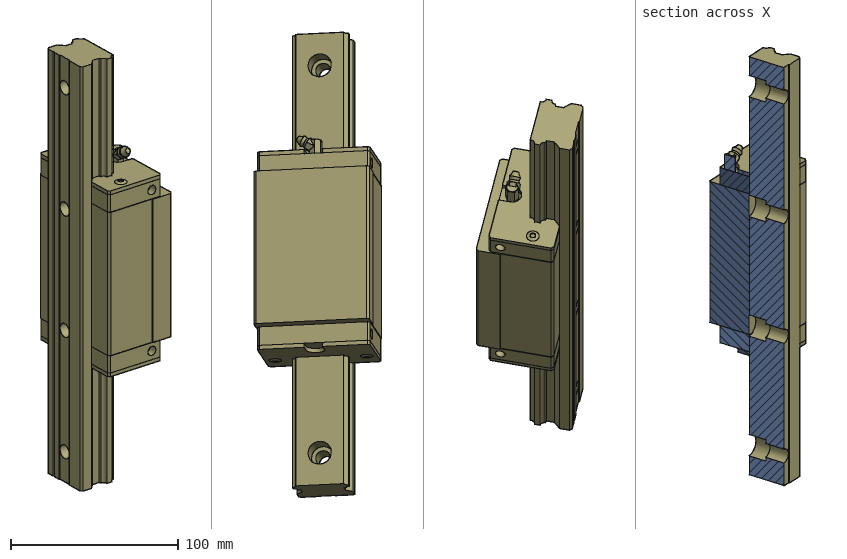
import cadquery as cq
import math


RAIL_LENGTH = 280.0
RAIL_HEIGHT = 26.0
RAIL_HALF_WIDTH = 17.0
RAIL_NECK_HALF_WIDTH = 13.2
RAIL_FOOT_HEIGHT = 7.5
RAIL_FOOT_CHAMFER = 1.5
RACEWAY_RADIUS = 2.5
UPPER_RACEWAY_CENTRE_Y = 25.5
LOWER_RACEWAY_CENTRE_Y = 16.8
SHOULDER_DROP = 0.5
BASE_GROOVE_HALF_WIDTH = 5.0
BASE_GROOVE_DEPTH = 0.5
MARK_GROOVE_X = -10.0
MARK_GROOVE_HALF_WIDTH = 0.8
MARK_GROOVE_DEPTH = 0.5

HOLE_COUNT = 4
HOLE_PITCH = 80.0
HOLE_DIAMETER = 9.0
COUNTERBORE_DIAMETER = 14.0
COUNTERBORE_DEPTH = 12.0

CARRIAGE_CENTRE_Z = 1.0
CARRIAGE_BOTTOM_Y = RAIL_FOOT_HEIGHT
CARRIAGE_CHAMFER = 1.5
BLOCK_LENGTH = 94.5
BLOCK_TOP_Y = 55.0
BLOCK_HALF_WIDTH = 35.0
BLOCK_STEP_Y = 39.8
BLOCK_STEP = 0.45
BLOCK_LOWER_HALF_WIDTH = BLOCK_HALF_WIDTH - BLOCK_STEP
CAP_LENGTH = 11.5
CAP_TOP_Y = 47.3
CAP_HALF_WIDTH = 34.2
SEAL_THICKNESS = 2.5
CAP_START = BLOCK_LENGTH / 2
SEAL_START = CAP_START + CAP_LENGTH

PORT_Y = 40.0
PORT_DIAMETER = 6.0
PORT_DEPTH = 5.5
NOTCH_RADIUS = 5.5

SCREW_X = 27.7
SCREW_Y = 21.5
SCREW_DIAMETER = 7.5
SCREW_HEIGHT = 0.8
SOCKET_DIAMETER = 3.5
SOCKET_DEPTH = 0.8

HEX_DIAMETER = 8.0
HEX_CHAMFER_DIAMETER = 6.7
HEX_CHAMFER_ANGLE = 30.0
HEX_HEIGHT = 9.8
NOZZLE_TILT = 30.0
NOZZLE_PIVOT_HEIGHT = 5.3
NOZZLE_HEX_LENGTH = 5.5
NECK_DIAMETER = 5.5
NECK_END = 7.0
HEAD_DIAMETER = 6.7
HEAD_START = 9.0
CROWN_DIAMETER = 4.5
CROWN_START = 11.0
TIP_DIAMETER = 3.5
NOZZLE_LENGTH = 12.3


def mirrored_across_yz(right_side):
    """Close a right-hand half outline with its mirror image."""
    return right_side + [(-x, y) for x, y in reversed(right_side)]


def raceway_middle(centre_y, side):
    """Middle point of a quarter-round raceway above (side 1) or below (side -1) its centre."""
    reach = RACEWAY_RADIUS * math.sqrt(0.5)
    return RAIL_HALF_WIDTH - reach, centre_y + side * reach


def rail_blank():
    """Full-length rail without base grooves or holes."""
    raceway_inner_x = RAIL_HALF_WIDTH - RACEWAY_RADIUS
    slope_top_y = RAIL_FOOT_HEIGHT + RAIL_HALF_WIDTH - RAIL_NECK_HALF_WIDTH
    right_half = (
        cq.Workplane("XY", origin=(0, 0, -RAIL_LENGTH / 2))
        .lineTo(RAIL_HALF_WIDTH - RAIL_FOOT_CHAMFER, 0)
        .lineTo(RAIL_HALF_WIDTH, RAIL_FOOT_CHAMFER)
        .lineTo(RAIL_HALF_WIDTH, RAIL_FOOT_HEIGHT)
        .lineTo(RAIL_NECK_HALF_WIDTH, slope_top_y)
        .lineTo(RAIL_NECK_HALF_WIDTH, LOWER_RACEWAY_CENTRE_Y - SHOULDER_DROP)
        .lineTo(raceway_inner_x, LOWER_RACEWAY_CENTRE_Y)
        .threePointArc(
            raceway_middle(LOWER_RACEWAY_CENTRE_Y, 1),
            (RAIL_HALF_WIDTH, LOWER_RACEWAY_CENTRE_Y + RACEWAY_RADIUS),
        )
        .lineTo(RAIL_HALF_WIDTH, UPPER_RACEWAY_CENTRE_Y - RACEWAY_RADIUS)
        .threePointArc(
            raceway_middle(UPPER_RACEWAY_CENTRE_Y, -1),
            (raceway_inner_x, UPPER_RACEWAY_CENTRE_Y),
        )
        .lineTo(raceway_inner_x, RAIL_HEIGHT)
        .lineTo(0, RAIL_HEIGHT)
        .close()
        .extrude(RAIL_LENGTH)
    )
    return right_half.union(right_half.mirror("YZ"))


def lengthwise_groove(points):
    """Cutter of the given section over the whole rail length."""
    return cq.Workplane("XY").polyline(points).close().extrude(RAIL_LENGTH / 2, both=True)


def make_rail():
    base_groove = lengthwise_groove(mirrored_across_yz([
        (BASE_GROOVE_HALF_WIDTH, 0),
        (BASE_GROOVE_HALF_WIDTH - BASE_GROOVE_DEPTH, BASE_GROOVE_DEPTH),
    ]))
    mark_groove = lengthwise_groove([
        (MARK_GROOVE_X - MARK_GROOVE_HALF_WIDTH, 0),
        (MARK_GROOVE_X + MARK_GROOVE_HALF_WIDTH, 0),
        (MARK_GROOVE_X, MARK_GROOVE_DEPTH),
    ])
    rail = rail_blank().cut(base_groove).cut(mark_groove)
    hole_grid = cq.Workplane("XZ", origin=(0, RAIL_HEIGHT, 0)).rarray(2.8, HOLE_PITCH, 1, HOLE_COUNT)
    bores = hole_grid.circle(HOLE_DIAMETER / 2).extrude(RAIL_HEIGHT)
    counterbores = hole_grid.circle(COUNTERBORE_DIAMETER / 2).extrude(COUNTERBORE_DEPTH)
    return rail.cut(bores).cut(counterbores)


def carriage_piece(outline, start, length):
    """Extrude an outline along Z from a carriage station, and open it for the rail."""
    return (
        cq.Workplane("XY", origin=(0, 0, CARRIAGE_CENTRE_Z + start))
        .polyline(outline)
        .close()
        .extrude(length)
        .cut(rail_blank())
    )


def make_block():
    """Carriage block, with both sides set back slightly below the step."""
    outline = mirrored_across_yz([
        (BLOCK_LOWER_HALF_WIDTH - CARRIAGE_CHAMFER, CARRIAGE_BOTTOM_Y),
        (BLOCK_LOWER_HALF_WIDTH, CARRIAGE_BOTTOM_Y + CARRIAGE_CHAMFER),
        (BLOCK_LOWER_HALF_WIDTH, BLOCK_STEP_Y),
        (BLOCK_HALF_WIDTH, BLOCK_STEP_Y + BLOCK_STEP),
        (BLOCK_HALF_WIDTH, BLOCK_TOP_Y - CARRIAGE_CHAMFER),
        (BLOCK_HALF_WIDTH - CARRIAGE_CHAMFER, BLOCK_TOP_Y),
    ])
    return carriage_piece(outline, -BLOCK_LENGTH / 2, BLOCK_LENGTH)


def end_piece(start, length):
    """Chamfered end plate of the carriage, at its +Z end."""
    outline = mirrored_across_yz([
        (CAP_HALF_WIDTH - CARRIAGE_CHAMFER, CARRIAGE_BOTTOM_Y),
        (CAP_HALF_WIDTH, CARRIAGE_BOTTOM_Y + CARRIAGE_CHAMFER),
        (CAP_HALF_WIDTH, CAP_TOP_Y - CARRIAGE_CHAMFER),
        (CAP_HALF_WIDTH - CARRIAGE_CHAMFER, CAP_TOP_Y),
    ])
    return carriage_piece(outline, start, length)


def make_end_cap():
    """End cap at the +Z end, with a blind grease port in each side."""
    port_z = CARRIAGE_CENTRE_Z + CAP_START + CAP_LENGTH / 2
    port = (
        cq.Workplane("YZ", origin=(CAP_HALF_WIDTH - PORT_DEPTH, PORT_Y, port_z))
        .circle(PORT_DIAMETER / 2)
        .extrude(PORT_DEPTH)
    )
    return end_piece(CAP_START, CAP_LENGTH).cut(port).cut(port.mirror("YZ"))


def make_screw_head():
    """Domed head with a round socket, standing on Z = 0."""
    rise = SCREW_HEIGHT
    base_radius = SCREW_DIAMETER / 2
    crown_radius = SOCKET_DIAMETER / 2
    sphere_centre = (rise**2 + crown_radius**2 - base_radius**2) / (2 * rise)
    sphere_radius = math.hypot(base_radius, sphere_centre)
    shoulder_radius = (base_radius + crown_radius) / 2
    shoulder_height = sphere_centre + math.sqrt(sphere_radius**2 - shoulder_radius**2)
    dome = (
        cq.Workplane("XZ")
        .lineTo(base_radius, 0)
        .threePointArc((shoulder_radius, shoulder_height), (crown_radius, rise))
        .lineTo(0, rise)
        .close()
        .revolve(360, (0, 0, 0), (0, 1, 0))
    )
    socket = (
        cq.Workplane("XY", origin=(0, 0, rise - SOCKET_DEPTH))
        .circle(SOCKET_DIAMETER / 2)
        .extrude(SOCKET_DEPTH)
    )
    return dome.cut(socket)


def make_end_seal():
    """End seal at the +Z end, notched around the nipple, with two screw heads."""
    start_z = CARRIAGE_CENTRE_Z + SEAL_START
    notch_height = CAP_TOP_Y - PORT_Y
    notch_base = cq.Workplane("XY", origin=(0, PORT_Y, start_z))
    notch_bottom = notch_base.circle(NOTCH_RADIUS).extrude(SEAL_THICKNESS)
    notch_mouth = (
        notch_base.center(0, notch_height / 2)
        .rect(2 * NOTCH_RADIUS, notch_height)
        .extrude(SEAL_THICKNESS)
    )
    seal = end_piece(SEAL_START, SEAL_THICKNESS).cut(notch_bottom).cut(notch_mouth)
    for x in (-SCREW_X, SCREW_X):
        seal = seal.union(make_screw_head().translate((x, SCREW_Y, start_z + SEAL_THICKNESS)))
    return seal


def at_both_ends(piece):
    """The piece at the +Z end of the carriage, and its mirror image at the -Z end."""
    return [piece, piece.mirror("XY", (0, 0, CARRIAGE_CENTRE_Z))]


def turned(profile):
    """Solid of revolution about Z from (radius, height) points."""
    return cq.Workplane("XZ").polyline(profile).close().revolve(360, (0, 0, 0), (0, 1, 0))


def chamfered_hex(length):
    """Hexagonal bar on Z = 0 with flats along X and a conical chamfer at its far end."""
    corner_drop = (HEX_DIAMETER - HEX_CHAMFER_DIAMETER) / 2 * math.tan(math.radians(HEX_CHAMFER_ANGLE))
    envelope = turned([
        (0, 0),
        (HEX_DIAMETER / 2, 0),
        (HEX_DIAMETER / 2, length - corner_drop),
        (HEX_CHAMFER_DIAMETER / 2, length),
        (0, length),
    ])
    bar = cq.Workplane("XY").transformed(rotate=(0, 0, 90)).polygon(6, HEX_DIAMETER).extrude(length)
    return bar.intersect(envelope)


def make_nipple():
    """Angled grease nipple, standing on the outer face of the +Z end cap."""
    spout = turned([
        (0, 0),
        (HEX_CHAMFER_DIAMETER / 2, 0),
        (HEX_CHAMFER_DIAMETER / 2, NOZZLE_HEX_LENGTH),
        (NECK_DIAMETER / 2, NECK_END),
        (HEAD_DIAMETER / 2, HEAD_START),
        (CROWN_DIAMETER / 2, CROWN_START),
        (TIP_DIAMETER / 2, NOZZLE_LENGTH),
        (0, NOZZLE_LENGTH),
    ])
    nozzle = (
        chamfered_hex(NOZZLE_HEX_LENGTH)
        .union(spout)
        .rotate((0, 0, 0), (0, 1, 0), 90 - NOZZLE_TILT)
        .translate((0, 0, NOZZLE_PIVOT_HEIGHT))
    )
    seat_z = CARRIAGE_CENTRE_Z + SEAL_START
    return chamfered_hex(HEX_HEIGHT).union(nozzle).translate((0, PORT_Y, seat_z))


rail = make_rail()
block = make_block()
end_caps = at_both_ends(make_end_cap())
end_seals = at_both_ends(make_end_seal())
nipple = make_nipple()

result = cq.Compound.makeCompound([
    rail.val(),
    block.val(),
    *[cap.val() for cap in end_caps],
    *[seal.val() for seal in end_seals],
    nipple.val(),
])